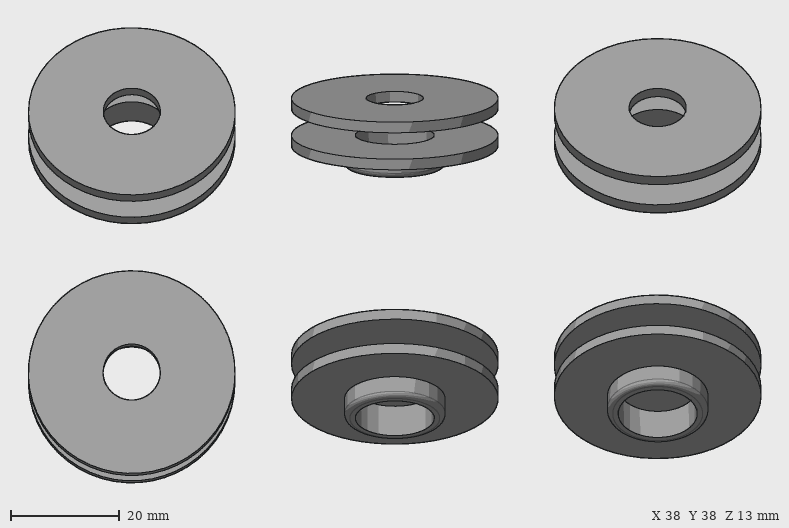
import cadquery as cq

disc_diameter = 38.0
disc_thickness = 2.0
washer_bore_diameter = 10.5
hub_bore_diameter = 14.5
disc_gap = 4.98
hub_diameter = 18.5
hub_height = 4.0
hub_edge_radius = 1.0

flange_bottom = hub_height
washer_bottom = flange_bottom + disc_thickness + disc_gap


def make_disc(bottom, bore_diameter):
    """Flat round disc with a central bore."""
    return (
        cq.Workplane("XY")
        .workplane(offset=bottom)
        .circle(disc_diameter / 2)
        .circle(bore_diameter / 2)
        .extrude(disc_thickness)
    )


def make_flanged_hub():
    """Disc with a bored hub below it, rounded at the hub's lower outer edge."""
    hub = (
        cq.Workplane("XY")
        .circle(hub_diameter / 2)
        .extrude(hub_height)
        .faces("<Z")
        .edges()
        .fillet(hub_edge_radius)
    )
    bore = cq.Workplane("XY").circle(hub_bore_diameter / 2).extrude(hub_height)
    return make_disc(flange_bottom, hub_bore_diameter).union(hub.cut(bore))


flanged_hub = make_flanged_hub()
washer = make_disc(washer_bottom, washer_bore_diameter)

result = cq.Compound.makeCompound([flanged_hub.val(), washer.val()])